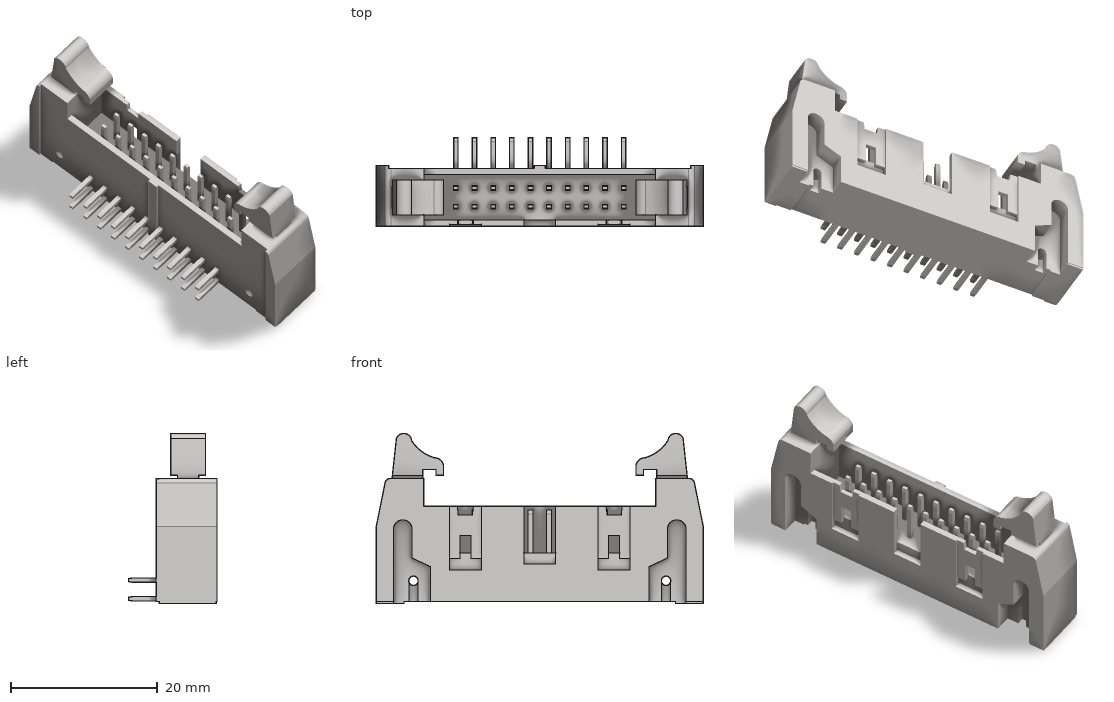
import cadquery as cq


overall_length = 44.6
half_length = overall_length / 2
body_depth = 7.9
wall = 0.85
mid_depth = body_depth / 2
underside_height = 0.25
rim_height = 13.27
cavity_floor_height = 6.87
cavity_half_length = 15.8

tower_top = 17.06
tower_bend_height = 10.53
shoulder_x = 21.1
shoulder_z = 16.45
shoulder_top_x = 20.3
shoulder_mid = (20.82, 16.9)
flange_inner_x = 20.56
flange_projection = 0.4
foot_inner_x = 18.5
foot_setback = 0.1

recess_outer_x = 19.95
recess_step_x = 17.4
recess_inner_x = 14.86
recess_arch_top = 11.4
recess_step_top = 6.2
recess_step_bottom = 5.0
recess_depth = 2.4
hole_x = 17.22
hole_z = 3.1
hole_diameter = 1.25
groove_depth = 1.0

opening_width = 4.36
centre_slot_bottom = 5.36
snap_x = 10.14
snap_bottom = 4.57
snap_recess_depth = 0.25
snap_sill_height = 6.17
window_width = 1.52
window_top = 9.28
notch_width_top = 2.2
notch_width_bottom = 1.9
notch_bottom = 12.08

rib_width = 1.5
rib_projection = 0.4

columns = 10
rows = 2
pitch = 2.54
pin_size = 0.64
pin_tip_size = 0.4
pin_tip_length = 0.57
pin_top = 12.77
tail_end = 12.1
tail_height = 0.65
pin_root = 1.0

overall_height = 23.2
latch_bottom = 17.48
latch_width = 4.75
latch_heel_x = 20.1
latch_back_top = (19.56, 22.5)
latch_crown = (18.6, overall_height)
thumb_curve_start = (17.45, 22.2)
thumb_curve_mid = (15.9, 20.6)
thumb_curve_end = (14.4, 19.9)
toe_round_mid = (13.4, 19.45)
toe_round_end_z = 18.86
toe_tip_x = 13.1
toe_inner_x = 14.17
toe_notch_top = 18.27
latch_front_x = 15.93
neck_width = 2.95


def box(x0, x1, y0, y1, z0, z1):
    """Box between two opposite corners."""
    return cq.Workplane("XY").box(x1 - x0, y1 - y0, z1 - z0, centered=False).translate((x0, y0, z0))


def centred_box(x, width, y0, y1, z0, z1):
    """Box centred on x."""
    return box(x - width / 2, x + width / 2, y0, y1, z0, z1)


def extrude_back(outline, y0, y1):
    """Extrude a closed XZ outline from y0 to y1."""
    return outline.extrude(y0 - y1).translate((0, y0, 0))


def both_ends(shape):
    """Shape at the +X end together with its mirror image at the -X end."""
    return shape.union(shape.mirror("YZ"))


def tower_outline():
    return (
        cq.Workplane("XZ")
        .moveTo(cavity_half_length, underside_height)
        .lineTo(half_length, underside_height)
        .lineTo(half_length, tower_bend_height)
        .lineTo(shoulder_x, shoulder_z)
        .threePointArc(shoulder_mid, (shoulder_top_x, tower_top))
        .lineTo(cavity_half_length, tower_top)
        .close()
    )


def tower():
    """End tower with its rear flange and its foot."""
    block = extrude_back(tower_outline(), 0, body_depth)
    flange_end = body_depth + flange_projection
    flange_zone = box(flange_inner_x, half_length, 0, flange_end, 0, tower_top)
    flange = extrude_back(tower_outline(), 0, flange_end).intersect(flange_zone)
    foot = box(foot_inner_x, half_length, foot_setback, body_depth, 0, underside_height)
    return block.union(flange).union(foot)


def tower_recess():
    """Arched front recess with a hole and, below the hole, a groove in the recess floor."""
    arch_radius = (recess_outer_x - recess_step_x) / 2
    arch_x = recess_step_x + arch_radius
    arch_spring = recess_arch_top - arch_radius
    outline = (
        cq.Workplane("XZ")
        .moveTo(recess_outer_x, 0)
        .lineTo(recess_outer_x, arch_spring)
        .threePointArc((arch_x, recess_arch_top), (recess_step_x, arch_spring))
        .lineTo(recess_step_x, recess_step_top)
        .lineTo(recess_inner_x, recess_step_bottom)
        .lineTo(recess_inner_x, 0)
        .close()
    )
    recess = extrude_back(outline, 0, recess_depth)
    hole_outline = cq.Workplane("XZ").center(hole_x, hole_z).circle(hole_diameter / 2)
    hole = extrude_back(hole_outline, 0, body_depth)
    groove = centred_box(hole_x, hole_diameter, 0, recess_depth + groove_depth, 0, hole_z)
    return recess.union(hole).union(groove)


def snap_opening():
    """Shallow front recess with a notched lip, a window and a deeper sill."""
    recess = centred_box(snap_x, opening_width, 0, snap_recess_depth, snap_bottom, rim_height)
    sill = centred_box(snap_x, opening_width, 0, wall, snap_bottom, snap_sill_height)
    window = centred_box(snap_x, window_width, 0, wall, snap_sill_height, window_top)
    notch_outline = (
        cq.Workplane("XZ")
        .moveTo(snap_x - notch_width_top / 2, rim_height)
        .lineTo(snap_x + notch_width_top / 2, rim_height)
        .lineTo(snap_x + notch_width_bottom / 2, notch_bottom)
        .lineTo(snap_x - notch_width_bottom / 2, notch_bottom)
        .close()
    )
    notch = extrude_back(notch_outline, 0, wall)
    return recess.union(sill).union(window).union(notch)


def housing():
    shell = box(-cavity_half_length, cavity_half_length, 0, body_depth, underside_height, rim_height)
    cavity = box(
        -cavity_half_length, cavity_half_length, wall, body_depth - wall, cavity_floor_height, rim_height
    )
    centre_slot = centred_box(0, opening_width, 0, wall, centre_slot_bottom, rim_height)
    rib = centred_box(0, rib_width, body_depth, body_depth + rib_projection, underside_height, rim_height)
    body = shell.cut(cavity).union(both_ends(tower())).union(rib)
    return body.cut(centre_slot).cut(both_ends(tower_recess())).cut(both_ends(snap_opening()))


def latch():
    """Ejector latch: a thumb piece with a hooked toe, on a narrower neck."""
    outline = (
        cq.Workplane("XZ")
        .moveTo(latch_front_x, latch_bottom)
        .lineTo(latch_heel_x, latch_bottom)
        .lineTo(*latch_back_top)
        .threePointArc(latch_crown, thumb_curve_start)
        .threePointArc(thumb_curve_mid, thumb_curve_end)
        .threePointArc(toe_round_mid, (toe_tip_x, toe_round_end_z))
        .lineTo(toe_tip_x, latch_bottom)
        .lineTo(toe_inner_x, latch_bottom)
        .lineTo(toe_inner_x, toe_notch_top)
        .lineTo(latch_front_x, toe_notch_top)
        .close()
    )
    thumb = extrude_back(outline, mid_depth - latch_width / 2, mid_depth + latch_width / 2)

    back_x, back_z = latch_back_top
    back_slope = (latch_heel_x - back_x) / (back_z - latch_bottom)
    neck_heel_x = latch_heel_x + back_slope * (latch_bottom - tower_top)
    neck_outline = (
        cq.Workplane("XZ")
        .moveTo(latch_front_x, tower_top)
        .lineTo(neck_heel_x, tower_top)
        .lineTo(latch_heel_x, latch_bottom)
        .lineTo(latch_front_x, latch_bottom)
        .close()
    )
    neck = extrude_back(neck_outline, mid_depth - neck_width / 2, mid_depth + neck_width / 2)
    return thumb.union(neck)


def pin(length):
    """Upright square pin from z = 0, its tip tapered in Y only."""
    half = pin_size / 2
    half_tip = pin_tip_size / 2
    return (
        cq.Workplane("YZ")
        .moveTo(-half, 0)
        .lineTo(half, 0)
        .lineTo(half, length - pin_tip_length)
        .lineTo(half_tip, length)
        .lineTo(-half_tip, length)
        .lineTo(-half, length - pin_tip_length)
        .close()
        .extrude(half, both=True)
    )


def pins():
    """Two rows of contacts in the cavity and their tails behind the housing."""
    contact_base = cavity_floor_height - pin_root
    tail_base = body_depth - pin_root
    contact = pin(pin_top - contact_base)
    tail = pin(tail_end - tail_base).rotate((0, 0, 0), (1, 0, 0), -90)
    placed = cq.Workplane("XY")
    for column in range(columns):
        x = (column - (columns - 1) / 2) * pitch
        for row in range(rows):
            y = mid_depth + (row - (rows - 1) / 2) * pitch
            z = tail_height + row * pitch
            placed = placed.add(contact.translate((x, y, contact_base)))
            placed = placed.add(tail.translate((x, tail_base, z)))
    return placed.combine()


result = housing().union(both_ends(latch())).union(pins())